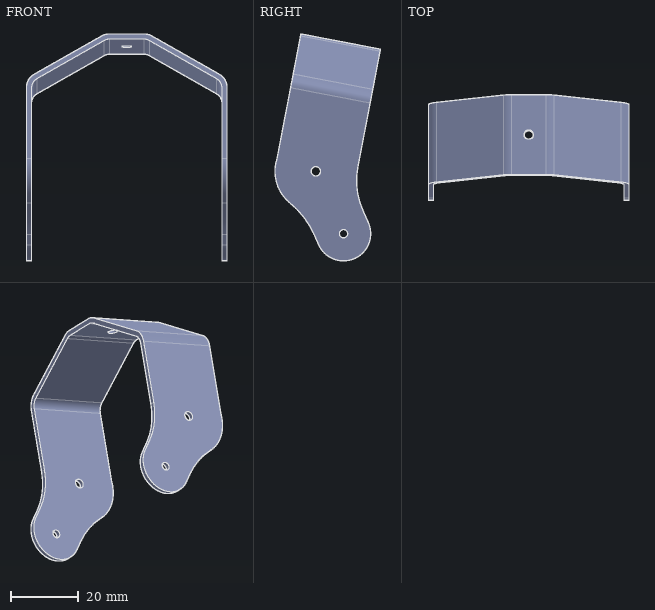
import cadquery as cq
import math


thickness = 1.5875
outer_width = 59.46
strap_width = 24.04
top_height = 39.12
flat_width = 12.7
shoulder_angle = 30.0
bend_radius = 3 * thickness
lean_angle = 10.85

knee_radius = 12.12
lobe_radius = 8.08
lobe_distance = 20.2
lobe_angle = 34.8
front_blend_radius = 25.4
back_blend_radius = 21.4

screw_hole_diameter = 2.71
lobe_hole_diameter = 2.38

half_strap = strap_width / 2
half_width = outer_width / 2
leg_bottom = -(lobe_distance + lobe_radius)
strip_reach = half_strap + lobe_distance
lobe_sin = math.sin(math.radians(lobe_angle))
lobe_cos = math.cos(math.radians(lobe_angle))


def from_lobe_axis(along, forward):
    """(y, z) of a point given along the knee-to-lobe axis and forward of it."""
    y = along * lobe_sin - forward * lobe_cos
    z = -along * lobe_cos - forward * lobe_sin
    return y, z


def arc_middle(center, radius, start, end):
    """Middle point of the minor arc from start to end about center."""
    dy = (start[0] + end[0]) / 2 - center[0]
    dz = (start[1] + end[1]) / 2 - center[1]
    stretch = radius / math.hypot(dy, dz)
    return center[0] + dy * stretch, center[1] + dz * stretch


def strap_block(offset):
    """Solid filling the strap outline, inset by offset from its outer face."""
    slope = math.radians(shoulder_angle)
    half_flat = flat_width / 2 - offset * math.tan(slope / 2)
    side = half_width - offset
    top = top_height - offset
    shoulder = top - (side - half_flat) * math.tan(slope)
    corners = [
        (-side, leg_bottom),
        (-side, shoulder),
        (-half_flat, top),
        (half_flat, top),
        (side, shoulder),
        (side, leg_bottom),
    ]
    block = cq.Workplane("XZ").polyline(corners).close().extrude(strip_reach, both=True)
    bends = block.edges("|Y and (not <Z)")
    return bends.fillet(bend_radius - offset)


def bent_strip():
    """Constant-thickness bent strap, deep enough along Y to hold the lobes."""
    return strap_block(0).cut(strap_block(thickness))


def side_outline():
    """Leg and lobe outline in the YZ plane, spanning the full width along X."""
    knee_top = (-half_strap, math.sqrt(knee_radius**2 - half_strap**2))

    blend_reach = knee_radius + front_blend_radius
    blend_forward = lobe_radius + front_blend_radius
    blend_along = math.sqrt(blend_reach**2 - blend_forward**2)
    front_center = from_lobe_axis(blend_along, blend_forward)
    knee_share = knee_radius / blend_reach
    knee_end = (front_center[0] * knee_share, front_center[1] * knee_share)
    front_line_top = from_lobe_axis(blend_along, lobe_radius)

    lobe_front = from_lobe_axis(lobe_distance, lobe_radius)
    lobe_tip = from_lobe_axis(lobe_distance + lobe_radius, 0)
    lobe_back = from_lobe_axis(lobe_distance, -lobe_radius)

    back_y = half_strap + back_blend_radius
    back_z = (lobe_radius + back_blend_radius - back_y * lobe_cos) / lobe_sin
    back_center = (back_y, back_z)
    back_line_top = (back_y - back_blend_radius * lobe_cos, back_z - back_blend_radius * lobe_sin)
    back_edge_bottom = (half_strap, back_z)

    knee_middle = arc_middle((0, 0), knee_radius, knee_top, knee_end)
    front_middle = arc_middle(front_center, front_blend_radius, knee_end, front_line_top)
    back_middle = arc_middle(back_center, back_blend_radius, back_line_top, back_edge_bottom)
    outline = (
        cq.Workplane("YZ")
        .moveTo(-half_strap, top_height)
        .lineTo(*knee_top)
        .threePointArc(knee_middle, knee_end)
        .threePointArc(front_middle, front_line_top)
        .lineTo(*lobe_front)
        .threePointArc(lobe_tip, lobe_back)
        .lineTo(*back_line_top)
        .threePointArc(back_middle, back_edge_bottom)
        .lineTo(half_strap, top_height)
        .close()
    )
    return outline.extrude(half_width, both=True)


def leg_holes(center, diameter):
    """Hole through both legs at a (y, z) position."""
    return cq.Workplane("YZ").center(*center).circle(diameter / 2).extrude(half_width, both=True)


def top_hole():
    """Hole through the middle of the top flat."""
    return cq.Workplane("XY").circle(screw_hole_diameter / 2).extrude(top_height)


yoke = bent_strip().intersect(side_outline())
yoke = yoke.cut(leg_holes((0, 0), screw_hole_diameter))
yoke = yoke.cut(leg_holes(from_lobe_axis(lobe_distance, 0), lobe_hole_diameter))
yoke = yoke.cut(top_hole())

result = yoke.rotate((0, 0, 0), (1, 0, 0), -lean_angle)